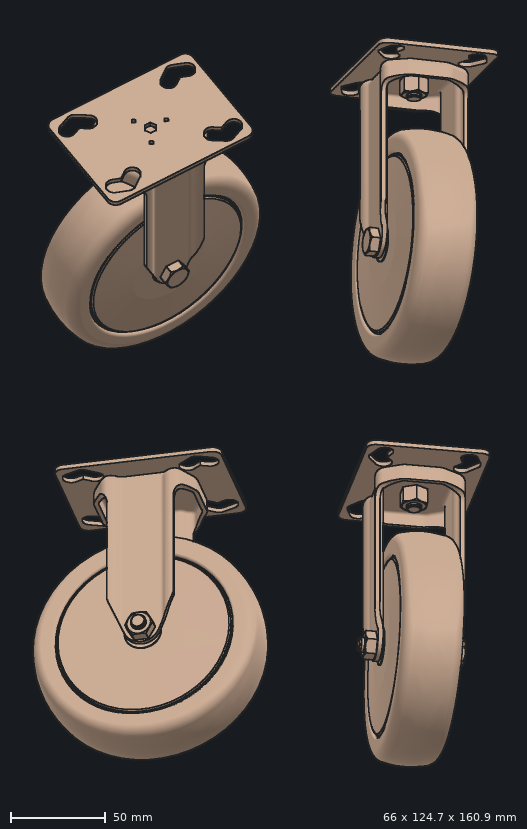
import cadquery as cq
import math


overall_height = 160.9
tyre_radius = 124.7 / 2
plate_top_z = overall_height - tyre_radius

plate_width = 66.0
plate_length = 90.1
plate_thickness = 2.7
plate_corner_radius = 5.0
plate_bottom_z = plate_top_z - plate_thickness

slot_outer = (22.7, 37.6)
slot_middle = (25.4, 31.0)
slot_inner = (21.0, 25.1)
slot_width = 9.0

dimple_diameter = 2.3
dimple_circle_radius = 10.0
dimple_angles = (90, 210, 330)

sheet = 2.5
fork_half_width = 24.1
fork_half_depth = 28.3
cap_front_half_width = 9.2
cap_bend_radius = 7.0
cap_slant_angle = 30
cap_corner_x = 21.2
cap_edge_radius = 4.5
cap_height = 10.1
leg_half_depth = 18.0
leg_notch_radius = 8.0
web_half_depth = 20.1 / 2
web_x = 21.0
web_bend_y = 12.2
leg_taper_z = 18.3
leg_taper_radius = 4.8
tip_radius = web_half_depth
tip_center_z = 2.1

bolt_radius = 4.0
bolt_tip_radius = 3.5
hex_flats = 13.2
hex_bevel_radius = 6.5
hex_bevel_height = 0.8
axle_nut_end_x = 27.2
axle_head_end_x = 26.5
axle_thread_end_x = 28.8
axle_tip_end_x = 29.8
center_nut_depth = 14.2
center_thread_depth = 15.3
center_tip_depth = 16.2
socket_flats = 6.1
socket_depth = 2.5
socket_cone_depth = 1.6

boss_radius = 20.1 / 2
boss_x = 18.0
disc_radius = 22.5
disc_x = 17.5
rim_radius = 46.3
rim_chamfer = 0.8
rim_x = 16.1
groove_floor_x = 14.5

tyre_inner_radius = 48.1
tyre_half_width = 16.5
lip_radius = 49.9
shoulder_radius = 54.7
shoulder_size = 6.5
crown_x = 10.6
crown_radius = 61.1


def arc_point(center, radius, angle):
    """Point at an angle in degrees on a circle."""
    a = math.radians(angle)
    return (center[0] + radius * math.cos(a), center[1] + radius * math.sin(a))


def hex_diameter(flats):
    """Corner-to-corner size of a hexagon."""
    return flats / math.cos(math.radians(30))


def round_ended_slot(start, end):
    """Cutter for one straight slot between two end centres."""
    dx = end[0] - start[0]
    dy = end[1] - start[1]
    return (
        cq.Workplane("XY", origin=(0, 0, plate_bottom_z))
        .center((start[0] + end[0]) / 2, (start[1] + end[1]) / 2)
        .slot2D(math.hypot(dx, dy) + slot_width, slot_width, math.degrees(math.atan2(dy, dx)))
        .extrude(plate_thickness)
    )


def make_plate():
    plate = (
        cq.Workplane("XY", origin=(0, 0, plate_bottom_z))
        .rect(plate_width, plate_length)
        .extrude(plate_thickness)
        .edges("|Z")
        .fillet(plate_corner_radius)
    )
    slot = round_ended_slot(slot_outer, slot_middle).union(round_ended_slot(slot_middle, slot_inner))
    slot_pair = slot.union(slot.mirror("YZ"))
    return plate.cut(slot_pair).cut(slot_pair.mirror("XZ"))


def fork_outline():
    """Plan outline of the fork: slanted front and back, and side webs pressed inwards."""
    bend_center = (cap_front_half_width, fork_half_depth - cap_bend_radius)
    slant_normal = 90 - cap_slant_angle
    bend_mid = arc_point(bend_center, cap_bend_radius, 90 - cap_slant_angle / 2)
    bend_end = arc_point(bend_center, cap_bend_radius, slant_normal)

    slant_drop = (cap_corner_x - bend_end[0]) * math.tan(math.radians(cap_slant_angle))
    corner_start = (cap_corner_x, bend_end[1] - slant_drop)
    corner_sine = math.sin(math.radians(cap_slant_angle))
    corner_radius = (fork_half_width - cap_corner_x) / (1 - corner_sine)
    corner_center_x = fork_half_width - corner_radius
    corner_center_y = corner_start[1] - corner_radius * math.sin(math.radians(slant_normal))
    corner_center = (corner_center_x, corner_center_y)
    corner_mid = arc_point(corner_center, corner_radius, slant_normal / 2)
    side_point = (fork_half_width, corner_center_y)

    bend_run = corner_center_y - web_half_depth
    swing = 2 * math.degrees(math.atan2(fork_half_width - web_x, bend_run))
    outer_radius = (corner_center_y - web_bend_y) / math.sin(math.radians(swing))
    inner_radius = (web_bend_y - web_half_depth) / math.sin(math.radians(swing))
    outer_center = (fork_half_width - outer_radius, corner_center_y)
    inner_center = (web_x + inner_radius, web_half_depth)
    outer_mid = arc_point(outer_center, outer_radius, -swing / 2)
    s_joint = arc_point(outer_center, outer_radius, -swing)
    inner_mid = arc_point(inner_center, inner_radius, 180 - swing / 2)

    return (
        cq.Workplane("XY", origin=(0, 0, plate_bottom_z))
        .moveTo(0, fork_half_depth)
        .lineTo(cap_front_half_width, fork_half_depth)
        .threePointArc(bend_mid, bend_end)
        .lineTo(*corner_start)
        .threePointArc(corner_mid, side_point)
        .threePointArc(outer_mid, s_joint)
        .threePointArc(inner_mid, (web_x, web_half_depth))
        .lineTo(web_x, 0)
        .mirrorX()
        .mirrorY()
    )


def fork_side_profile():
    """Side silhouette of the fork: cap, notched shoulders, tapered legs and round tips."""
    cap_bottom_z = plate_bottom_z - cap_height
    notch_center = (leg_half_depth + leg_notch_radius, cap_bottom_z - leg_notch_radius)
    notch_mid = arc_point(notch_center, leg_notch_radius, 135)

    rise = leg_taper_z - tip_center_z
    span = math.hypot(leg_half_depth, rise)
    tangent_angle = math.degrees(math.atan2(rise, leg_half_depth) - math.acos(tip_radius / span))
    tangent = arc_point((0, tip_center_z), tip_radius, tangent_angle)
    tip = (0, tip_center_z - tip_radius)
    tip_mid = arc_point((0, tip_center_z), tip_radius, (tangent_angle - 90) / 2)

    half = (
        cq.Workplane("YZ", origin=(-fork_half_width, 0, 0))
        .moveTo(0, plate_bottom_z)
        .lineTo(fork_half_depth, plate_bottom_z)
        .lineTo(fork_half_depth, cap_bottom_z)
        .lineTo(notch_center[0], cap_bottom_z)
        .threePointArc(notch_mid, (leg_half_depth, notch_center[1]))
        .lineTo(leg_half_depth, leg_taper_z)
        .lineTo(*tangent)
        .threePointArc(tip_mid, tip)
        .close()
        .extrude(2 * fork_half_width)
    )
    taper_corner = cq.selectors.NearestToPointSelector((0, leg_half_depth, leg_taper_z))
    half = half.edges(taper_corner).fillet(leg_taper_radius)
    return half.union(half.mirror("XZ"))


def make_fork():
    blank_depth = plate_bottom_z + tip_radius
    outer = fork_outline().extrude(-blank_depth).faces(">Z").edges().fillet(cap_edge_radius)
    inner = (
        fork_outline()
        .offset2D(-sheet)
        .extrude(-blank_depth)
        .translate((0, 0, -sheet))
        .faces(">Z")
        .edges()
        .fillet(cap_edge_radius - sheet)
    )
    return outer.cut(inner).intersect(fork_side_profile())


def chamfered_hex(height):
    """Hexagon along +Z with corners on Y, bevelled around its far end."""
    corner_size = hex_diameter(hex_flats)
    blank = cq.Workplane("XY").circle(corner_size / 2).extrude(height)
    bevelled = blank.faces(">Z").chamfer(hex_bevel_height, corner_size / 2 - hex_bevel_radius)
    hexagon = cq.Workplane("XY").polygon(6, corner_size).extrude(height)
    return hexagon.rotate((0, 0, 0), (0, 0, 1), 90).intersect(bevelled)


def along_x(body, direction):
    """Turn a body from +Z to +X or -X."""
    return body.rotate((0, 0, 0), (0, 1, 0), 90 * direction)


def make_axle():
    head = along_x(chamfered_hex(axle_head_end_x - web_x), 1).translate((web_x, 0, 0))
    nut = along_x(chamfered_hex(axle_nut_end_x - web_x), -1).translate((-web_x, 0, 0))
    shank = cq.Workplane("YZ", origin=(web_x, 0, 0)).circle(bolt_radius).extrude(-web_x - axle_thread_end_x)
    tip = cq.Workplane("YZ").circle(bolt_tip_radius).extrude(-axle_tip_end_x)
    return shank.union(tip).union(head).union(nut)


def make_center_fastener():
    """Nut and bolt end under the cap."""
    seat_z = plate_bottom_z - sheet
    nut_end_z = plate_top_z - center_nut_depth
    nut = chamfered_hex(seat_z - nut_end_z)
    nut = nut.rotate((0, 0, 0), (1, 0, 0), 180).translate((0, 0, seat_z))
    top = cq.Workplane("XY", origin=(0, 0, plate_top_z))
    thread = top.circle(bolt_radius).extrude(-center_thread_depth)
    tip = top.circle(bolt_tip_radius).extrude(-center_tip_depth)
    return nut.union(thread).union(tip)


def socket_cutter():
    """Hexagon socket with a conical floor."""
    hexagon = (
        cq.Workplane("XY", origin=(0, 0, plate_top_z))
        .polygon(6, hex_diameter(socket_flats))
        .extrude(-socket_depth)
        .rotate((0, 0, 0), (0, 0, 1), 90)
    )
    floor_z = plate_top_z - socket_depth
    cone = cq.Solid.makeCone(
        socket_flats / 2, 0, socket_cone_depth, pnt=cq.Vector(0, 0, floor_z), dir=cq.Vector(0, 0, -1)
    )
    return hexagon.union(cq.Workplane(cone))


def dimple_cutter():
    """Small round holes through the plate, ending on the cap."""
    centers = [arc_point((0, 0), dimple_circle_radius, angle) for angle in dimple_angles]
    return (
        cq.Workplane("XY", origin=(0, 0, plate_top_z))
        .pushPoints(centers)
        .circle(dimple_diameter / 2)
        .extrude(-plate_thickness)
    )


def make_frame():
    """Plate, fork, centre fastener and axle as one body."""
    frame = make_plate().union(make_fork()).union(make_center_fastener()).union(make_axle())
    return frame.cut(socket_cutter()).cut(dimple_cutter())


def revolve_about_axle(outline):
    return outline.revolve(360, (0, 0, 0), (1, 0, 0))


def make_hub():
    rim_wall_radius = rim_radius + rim_chamfer
    half_outline = (
        cq.Workplane("XZ")
        .moveTo(0, bolt_radius)
        .lineTo(boss_x, bolt_radius)
        .lineTo(boss_x, boss_radius)
        .lineTo(disc_x, boss_radius)
        .lineTo(disc_x, disc_radius)
        .lineTo(rim_x, rim_radius)
        .lineTo(rim_x - rim_chamfer, rim_wall_radius)
        .lineTo(groove_floor_x, rim_wall_radius)
        .lineTo(groove_floor_x, tyre_inner_radius)
        .lineTo(0, tyre_inner_radius)
        .close()
    )
    half_hub = revolve_about_axle(half_outline)
    return half_hub.union(half_hub.mirror("YZ"))


def make_tyre():
    lip_size = lip_radius - tyre_inner_radius
    lip_center = (tyre_half_width - lip_size, lip_radius)
    lip_mid = arc_point(lip_center, lip_size, -45)
    shoulder_mid = arc_point((tyre_half_width - shoulder_size, shoulder_radius), shoulder_size, 45)
    outline = (
        cq.Workplane("XZ")
        .moveTo(-lip_center[0], tyre_inner_radius)
        .lineTo(lip_center[0], tyre_inner_radius)
        .threePointArc(lip_mid, (tyre_half_width, lip_radius))
        .lineTo(tyre_half_width, shoulder_radius)
        .threePointArc(shoulder_mid, (crown_x, crown_radius))
        .threePointArc((0, tyre_radius), (-crown_x, crown_radius))
        .threePointArc((-shoulder_mid[0], shoulder_mid[1]), (-tyre_half_width, shoulder_radius))
        .lineTo(-tyre_half_width, lip_radius)
        .threePointArc((-lip_mid[0], lip_mid[1]), (-lip_center[0], tyre_inner_radius))
        .close()
    )
    return revolve_about_axle(outline)


frame = make_frame()
hub = make_hub()
tyre = make_tyre()

result = cq.Compound.makeCompound([frame.solids().val(), hub.solids().val(), tyre.val()])